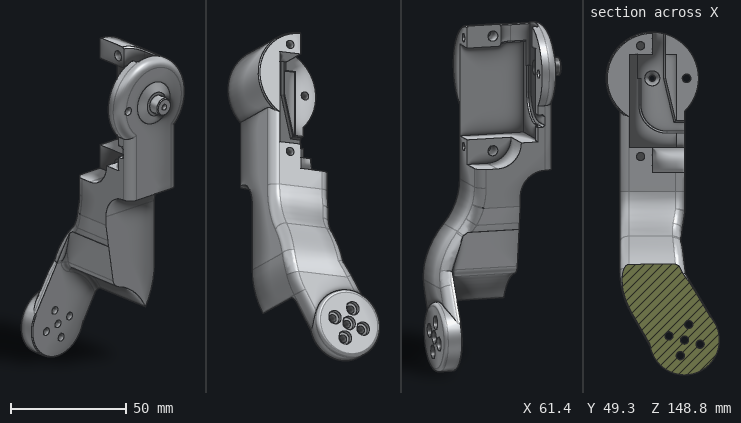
import cadquery as cq
import math


head_radius = 20.1
head_edge_chamfer = 0.6
plate_inner_x = 27.7
channel_floor_x = 30.8
plate_outer_x = 35.0
plate_edge_radius = 4.0

half_width = 14.1
body_edge_radius = 4.0
plate_bottom_z = -42.9
neck_x = 19.6
neck_radius = 11.2

pocket_x = 29.0
pocket_back_y = 10.0
pocket_rim_y = -10.4
pocket_top_z = 10.4
pocket_bottom_z = -30.0

relief_x = 20.1
relief_bottom_z = -40.9
relief_radius = 10.9

notch_start_x = 15.5
notch_y = 6.4
notch_corner_radius = notch_y
notch_chamfer = 0.7
channel_edge_chamfer = 0.9
channel_half_width = 5.8
channel_bottom_z = -23.8
channel_bend_radius = 12.2
channel_lip_y = -10.1
channel_lip_z = -18.3

pin_diameter = 8.0
pin_end_x = 41.8
pin_chamfer = 0.5
dome_base_radius = 9.5
dome_top_radius = 5.4
dome_height = 1.8
axis_hole_diameter = 2.5
axis_sink_diameter = 6.5
plate_hole_diameter = 3.5
plate_hole_y = -14.9

screw_x = 11.8
screw_diameter = 4.5
screw_depth = 9.8
screw_z_places = (15.0, -35.5)
side_hole_diameter = 3.5
side_hole_y = 5.0
side_hole_depth = 9.0
side_hole_z_places = (14.1, -34.0)

arm_start_z = -49.1
arm_inflection = (-7.3, -68.5)
arm_face_x = -17.0
arm_face_z = -92.3
arm_inner_x = -11.6
arm_tilt = math.radians(30)
arm_waist_z = -68.5
arm_waist_radius = 22.3
arm_knee = (-14.5, -84.8)
arm_back_bend_radius = 37.2
arm_end_radius = 14.3

slope_top_z = -58.0
slope_bottom = (-9.5, -88.1)
hollow_bottom = (9.2, -103.1)
hollow_radius = 25.3
hollow_edge_radius = 4.5
hollow_corner_radius = 2.2
inner_slope_top_x = -5.4
inner_slope_bottom_z = -84.8

pad_y = -14.0
pad_z = -113.5
pad_radius = 15.2
pad_face_x = -19.6
pad_edge_radius = 1.5
pad_inner_edge = 0.5
pad_hole_diameter = 3.4
pad_bore_diameter = 6.0
pad_bore_depth = 2.4
pad_hole_circle_radius = 7.0
pad_hole_turn = math.radians(15)
pad_hole_count = 4

overlap = 1.5
reach = 89.3


def box(x_range, y_range, z_range):
    """Box between two limits along each axis."""
    (x0, x1), (y0, y1), (z0, z1) = x_range, y_range, z_range
    return cq.Workplane("XY").box(x1 - x0, y1 - y0, z1 - z0, centered=False).translate((x0, y0, z0))


def rod(x0, x1, y, z, diameter):
    """Cylinder along X."""
    return cq.Workplane("YZ", origin=(x0, y, z)).circle(diameter / 2).extrude(x1 - x0)


def around_axis(outline):
    """Body of revolution about the motor axis from (x, radius) points."""
    return cq.Workplane("XY").polyline(outline).close().revolve(360, (0, 0, 0), (1, 0, 0))


def make_head():
    """Half barrel around the motor and the full round end plate."""
    barrel = rod(0, plate_outer_x - plate_edge_radius, 0, 0, 2 * head_radius)
    barrel = barrel.faces("<X").chamfer(head_edge_chamfer)
    half = box((-overlap, plate_outer_x), (0, reach), (-reach, reach))
    plate = rod(plate_inner_x, plate_outer_x, 0, 0, 2 * head_radius)
    plate = plate.faces(">X").edges().fillet(plate_edge_radius)
    return barrel.intersect(half).union(plate)


def make_body():
    """Straight body and offset arm, down to the middle of the pad."""
    side = (
        cq.Workplane("XZ", origin=(0, reach / 2, 0))
        .moveTo(0, 0)
        .lineTo(0, arm_start_z)
        .tangentArcPoint(arm_inflection, relative=False)
        .tangentArcPoint((arm_face_x, arm_face_z), relative=False)
        .lineTo(arm_face_x, pad_z - pad_radius)
        .lineTo(neck_x, pad_z - pad_radius)
        .lineTo(neck_x, plate_bottom_z - neck_radius)
        .radiusArc((neck_x + neck_radius, plate_bottom_z), neck_radius)
        .lineTo(plate_outer_x, plate_bottom_z)
        .lineTo(plate_outer_x, 0)
        .close()
        .extrude(reach)
    )
    cos_tilt = math.cos(arm_tilt)
    sin_tilt = math.sin(arm_tilt)
    front_tangent = (pad_y - pad_radius * cos_tilt, pad_z + pad_radius * sin_tilt)
    back_tangent = (pad_y + arm_end_radius * cos_tilt, pad_z - arm_end_radius * sin_tilt)
    back_corner_z = back_tangent[1] + (half_width - back_tangent[0]) / math.tan(arm_tilt)
    slope = (slope_bottom[0] + half_width) / (slope_bottom[1] - slope_top_z)
    waist_y = -half_width + slope * (arm_waist_z - slope_top_z)
    width = (
        cq.Workplane("YZ", origin=(-reach / 2, 0, 0))
        .moveTo(half_width, 0)
        .lineTo(half_width, back_corner_z)
        .lineTo(*back_tangent)
        .lineTo(pad_y, pad_z)
        .lineTo(*front_tangent)
        .lineTo(*arm_knee)
        .lineTo(waist_y, arm_waist_z)
        .lineTo(-half_width, slope_top_z)
        .lineTo(-half_width, 0)
        .close()
        .extrude(reach)
    )
    back_corner = cq.selectors.NearestToPointSelector((0, half_width, back_corner_z))
    waist = cq.selectors.NearestToPointSelector((0, waist_y, arm_waist_z))
    width = width.edges(back_corner).fillet(arm_back_bend_radius)
    width = width.edges(waist).fillet(arm_waist_radius)
    return side.intersect(width)


def round_body_edges(body):
    """Round the long edges of the -X side and of the end plate."""
    arm_edges = cq.selectors.BoxSelector(
        (arm_face_x - overlap, -reach, pad_z + overlap),
        (overlap / 2, reach, 0),
    ) - cq.selectors.ParallelDirSelector(cq.Vector(0, 1, 0))
    plate_edges = cq.selectors.BoxSelector(
        (plate_outer_x - overlap, -reach, plate_bottom_z + overlap),
        (plate_outer_x + overlap, reach, -overlap),
    )
    return body.edges(arm_edges).fillet(body_edge_radius).edges(plate_edges).fillet(plate_edge_radius)


def make_hollow():
    """Space beside the arm, swept by whatever turns on the pad."""
    section = (
        cq.Workplane("YZ", origin=(-reach / 2, 0, 0))
        .moveTo(-half_width, slope_top_z)
        .lineTo(*slope_bottom)
        .radiusArc(hollow_bottom, hollow_radius)
        .lineTo(reach, hollow_bottom[1])
        .lineTo(reach, -reach * 2)
        .lineTo(-reach, -reach * 2)
        .lineTo(-reach, slope_top_z)
        .close()
        .extrude(reach)
    )
    corner = cq.selectors.NearestToPointSelector((0, *slope_bottom))
    section = section.edges(corner).fillet(hollow_edge_radius)
    beside_arm = (
        cq.Workplane("XZ", origin=(0, reach / 2, 0))
        .polyline([
            (inner_slope_top_x, arm_waist_z),
            (arm_inner_x, inner_slope_bottom_z),
            (arm_inner_x, -reach * 2),
            (reach, -reach * 2),
            (reach, arm_waist_z),
        ])
        .close()
        .extrude(reach)
    )
    hollow = section.intersect(beside_arm)
    return hollow.faces("<X").edges("%CIRCLE or |Y").fillet(hollow_corner_radius)


def make_pocket():
    """Motor pocket and the stepped relief below it."""
    z_range = (pocket_bottom_z, pocket_top_z)
    deep = box((-reach, pocket_x), (pocket_rim_y, pocket_back_y), z_range)
    mouth = box((-reach, plate_inner_x), (-reach, pocket_back_y), z_range)
    above = box((-reach, plate_inner_x), (-reach, 0), (0, reach))
    relief = (
        box((-reach, relief_x), (-reach, 0), (relief_bottom_z, pocket_bottom_z + overlap))
        .edges("|Y and >X and <Z")
        .fillet(relief_radius)
    )
    return deep.union(mouth).union(above).union(relief)


def make_cable_path():
    """Notch through the cap and the channel it feeds in the end plate."""
    notch = (
        box((notch_start_x, channel_floor_x), (-overlap, notch_y), (0, reach))
        .edges("|Z and <X and >Y")
        .fillet(notch_corner_radius)
    )
    channel = (
        cq.Workplane("YZ", origin=(plate_inner_x, 0, 0))
        .moveTo(channel_half_width, reach)
        .lineTo(channel_half_width, channel_bottom_z + channel_bend_radius)
        .radiusArc((channel_half_width - channel_bend_radius, channel_bottom_z), channel_bend_radius)
        .lineTo(-reach, channel_bottom_z)
        .lineTo(-reach, channel_lip_z)
        .lineTo(channel_lip_y, channel_lip_z)
        .lineTo(-channel_half_width, 0)
        .lineTo(-channel_half_width, reach)
        .close()
        .extrude(channel_floor_x - plate_inner_x)
        .faces(">X")
        .edges()
        .chamfer(channel_edge_chamfer)
    )
    return notch.union(channel)


def chamfer_notch(housing):
    """Chamfer the upper and lower rims of the notch in the cap."""
    rims = cq.selectors.BoxSelector(
        (notch_start_x, overlap, pocket_top_z - overlap / 2),
        (plate_inner_x, notch_y + overlap / 2, head_radius),
    )
    return housing.edges(rims).edges("not |Z").chamfer(notch_chamfer)


def make_axis_pin():
    """Pin and the cone it stands on."""
    base_x = plate_outer_x - overlap
    dome = around_axis([
        (base_x, 0),
        (base_x, dome_base_radius),
        (plate_outer_x, dome_base_radius),
        (plate_outer_x + dome_height, dome_top_radius),
        (plate_outer_x + dome_height, 0),
    ])
    pin = rod(base_x, pin_end_x, 0, 0, pin_diameter).faces(">X").chamfer(pin_chamfer)
    return dome.union(pin)


def make_head_holes():
    """Holes along the motor axis, through the end plate and for the screws."""
    axis_hole = rod(0, reach, 0, 0, axis_hole_diameter)
    sink_depth = (axis_sink_diameter - axis_hole_diameter) / 2
    sink = around_axis([
        (channel_floor_x, 0),
        (channel_floor_x, axis_sink_diameter / 2),
        (channel_floor_x + sink_depth, axis_hole_diameter / 2),
        (channel_floor_x + sink_depth, 0),
    ])
    plate_hole = rod(0, reach, plate_hole_y, 0, plate_hole_diameter)
    holes = axis_hole.union(sink).union(plate_hole)
    tip = screw_diameter / 2
    for z in screw_z_places:
        screw_hole = (
            cq.Workplane("XY")
            .polyline([(0, 0), (tip, 0), (tip, screw_depth), (0, screw_depth + tip)])
            .close()
            .revolve(360, (0, 0, 0), (0, 1, 0))
            .translate((screw_x, 0, z))
        )
        holes = holes.union(screw_hole)
    for z in side_hole_z_places:
        holes = holes.union(rod(-overlap, side_hole_depth, side_hole_y, z, side_hole_diameter))
    return holes


def make_pad():
    """Round pad with a rounded outer rim."""
    pad = rod(pad_face_x, arm_inner_x, pad_y, pad_z, 2 * pad_radius)
    return pad.faces("<X").edges().fillet(pad_edge_radius).faces(">X").edges().chamfer(pad_inner_edge)


def make_pad_holes():
    """Counterbored holes at the pad centre and on a circle around it."""
    centers = [(pad_y, pad_z)]
    for index in range(pad_hole_count):
        angle = pad_hole_turn + index * 2 * math.pi / pad_hole_count
        y = pad_y + pad_hole_circle_radius * math.cos(angle)
        z = pad_z + pad_hole_circle_radius * math.sin(angle)
        centers.append((y, z))
    holes = cq.Workplane("XY")
    for y, z in centers:
        holes = holes.union(rod(-reach, 0, y, z, pad_hole_diameter))
        holes = holes.union(rod(-reach, pad_face_x + pad_bore_depth, y, z, pad_bore_diameter))
    return holes


body = round_body_edges(make_body()).cut(make_hollow())
housing = make_head().union(body).cut(make_pocket()).cut(make_cable_path())
housing = chamfer_notch(housing)
result = housing.union(make_axis_pin()).union(make_pad()).cut(make_head_holes()).cut(make_pad_holes())